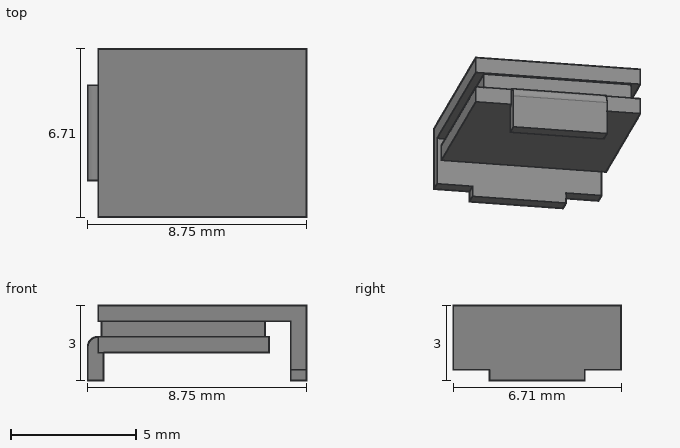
import cadquery as cq

length = 8.75
width = 6.71
height = 3.0

sheet = 0.64
lead_width = 3.815
lead_overhang = 0.42
bend_radius = lead_overhang
inner_bend_radius = 0.035

lower_plate_length = 6.825
element_inset = 0.13
element_length = 6.54
element_width = 6.0
element_thickness = 0.61
shoulder_height = 0.43

plate_left = lead_overhang
upper_bottom = height - sheet
lower_top = upper_bottom - element_thickness
lower_bottom = lower_top - sheet


def block(x_start, x_end, size_y, z_start, z_end):
    """Box centred on the XZ plane."""
    return (
        cq.Workplane("XY")
        .box(x_end - x_start, size_y, z_end - z_start, centered=(False, True, False))
        .translate((x_start, 0, z_start))
    )


def upper_terminal():
    """Top plate with a full-width right leg ending in a narrower foot."""
    plate = block(plate_left, length, width, upper_bottom, height)
    leg = block(length - sheet, length, width, shoulder_height, height)
    foot = block(length - sheet, length, lead_width, 0, height)
    return plate.union(leg).union(foot)


def lower_terminal():
    """Lower plate with a narrow lead bent down at its left edge."""
    plate = block(plate_left, plate_left + lower_plate_length, width, lower_bottom, lower_top)
    bend_end = sheet + inner_bend_radius
    lead = (
        cq.Workplane("XZ")
        .lineTo(sheet, 0)
        .lineTo(sheet, lower_bottom - inner_bend_radius)
        .radiusArc((bend_end, lower_bottom), inner_bend_radius)
        .lineTo(bend_end, lower_top)
        .lineTo(bend_radius, lower_top)
        .radiusArc((0, lower_top - bend_radius), -bend_radius)
        .close()
        .extrude(lead_width / 2, both=True)
    )
    return plate.union(lead)


element_left = plate_left + element_inset
element = block(element_left, element_left + element_length, element_width, lower_top, upper_bottom)

result = upper_terminal().union(element).union(lower_terminal())